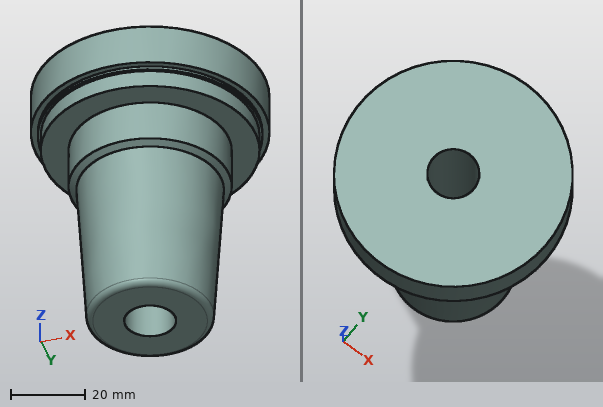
import cadquery as cq

total_height = 75.0
flange_diameter = 64.5

collar_diameter = 60.75
register_diameter = 59.1
spigot_diameter = 44.1
taper_top_diameter = 39.9
taper_bottom_diameter = 34.35
bore_diameter = 14.0

flange_height = 12.0
collar_height = 1.0
register_height = 5.0
spigot_height = 12.0
chamfer_height = 1.2
bottom_round = 1.8

flange_bottom = total_height - flange_height
collar_bottom = flange_bottom - collar_height
register_bottom = collar_bottom - register_height
spigot_bottom = register_bottom - spigot_height
taper_top = spigot_bottom - chamfer_height

body = (
    cq.Workplane("YZ")
    .moveTo(0, 0)
    .lineTo(taper_bottom_diameter / 2, 0)
    .lineTo(taper_top_diameter / 2, taper_top)
    .lineTo(spigot_diameter / 2, spigot_bottom)
    .lineTo(spigot_diameter / 2, register_bottom)
    .lineTo(register_diameter / 2, register_bottom)
    .lineTo(register_diameter / 2, collar_bottom)
    .lineTo(collar_diameter / 2, collar_bottom)
    .lineTo(collar_diameter / 2, flange_bottom)
    .lineTo(flange_diameter / 2, flange_bottom)
    .lineTo(flange_diameter / 2, total_height)
    .lineTo(0, total_height)
    .close()
    .revolve(360, (0, 0, 0), (0, 1, 0))
)

body = body.faces("<Z").edges().fillet(bottom_round)

result = body.faces(">Z").workplane().hole(bore_diameter)